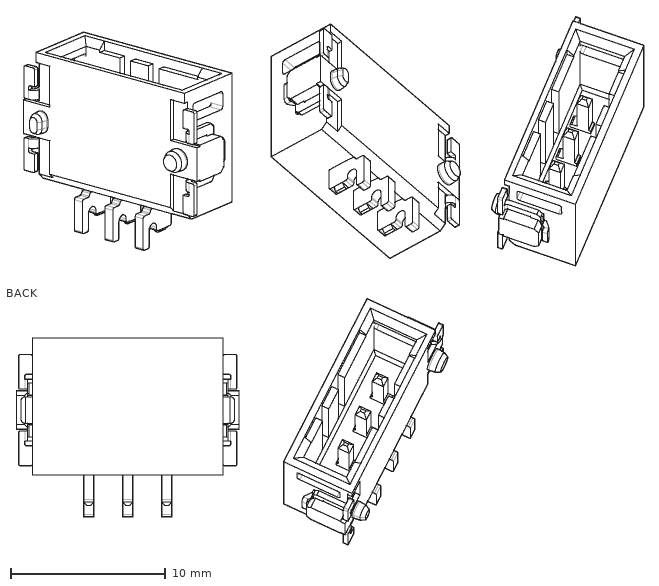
import cadquery as cq

HOUSING_WIDTH = 12.36
HOUSING_DEPTH = 4.94
HOUSING_HEIGHT = 8.9
HALF_WIDTH = HOUSING_WIDTH / 2
FRONT_CHAMFER = 0.75

MOUTH_HALF_WIDTH = 5.69
MOUTH_FRONT = 0.39
MOUTH_BACK = 4.46
LEAD_IN = 0.49
CAVITY_HALF_WIDTH = MOUTH_HALF_WIDTH - LEAD_IN
CAVITY_FRONT = MOUTH_FRONT + LEAD_IN
CAVITY_BACK = MOUTH_BACK - LEAD_IN
FLOOR_Z = 1.95
FLOOR_BEVEL = 0.25

RELIEF_WIDTH = 8.15
RELIEF_DEPTH = 0.65
GROOVE_WIDTH = 0.91
BACK_GROOVES = (-1.93, 0.43)
FRONT_GROOVES = (-0.9, 1.47)

WINDOW_BOTTOM = 6.69
WINDOW_TOP = 7.93
WINDOW_RADIUS = 0.2

MOUNT_Z = 4.22
PEG_X = 5.69
PEG_DIAMETER = 1.5
NARROW_PEG_WIDTH = 1.01
PEG_COLLAR = 0.12
PEG_TAPER_START = 0.55
PEG_LENGTH = 0.87
PEG_DRAFT_INSET = 0.05
PEG_TIP_INSET = 0.2
CORNER_RECESS_WIDTH = 1.15
CORNER_RECESS_DEPTH = 0.33
CORNER_RECESS_TOP = 8.2
RECESS_BAR_HEIGHT = 2.32
WING_TIP_X = 7.22
WING_DEPTH = 2.79
WING_HEIGHT = 2.51
WING_CHAMFER = 0.32
WING_INNER_BEVEL = 0.17

SHEET = 0.33
SHEET_OUTER_X = HALF_WIDTH + SHEET
PLATE_HEIGHT = 4.01
PLATE_BACK = 2.64
PLATE_CHAMFER = 0.26
PLATE_TIP = 0.12
PLATE_TIP_THICKNESS = 0.22
SLOT_HEIGHT = 2.7
SLOT_BACK = 1.93
BEND_INNER_RADIUS = 0.16
BEND_OUTER_RADIUS = BEND_INNER_RADIUS + SHEET
BEND_X = HALF_WIDTH + BEND_OUTER_RADIUS
SOLDER_Y = -0.13
BEND_Y = SOLDER_Y + BEND_OUTER_RADIUS
FOOT_TIP_X = 7.08
FOOT_END = 3.61
FOOT_NOTCH_END = 2.31
FOOT_RADIUS = 0.12
TAB_HEIGHT = 1.72
TAB_TIP_X = 6.92
TAB_BACK = 3.26
TAB_RADIUS = 0.26
TAB_BEND_X = 6.61

PIN_PITCH = 2.53
PIN_WIDTH = 0.66
PIN_FRONT = 1.82
PIN_BACK = 2.63
PIN_TIP_Z = 6.06
PIN_TIP_HEIGHT = 0.43
PIN_TIP_WIDTH = 0.19
PIN_TIP_DEPTH = 0.3
SHANK_FRONT = 1.33
SHANK_BACK = 2.77
SHOULDER_HEIGHT = 0.43
SHOULDER_CHAMFER = 0.13
TAIL_HEEL_Z = -1.73
TAIL_HEEL_FRONT = 1.25
TAIL_KNEE_Z = -0.33
TAIL_KNEE_Y = 0.52
TAIL_SHOULDER_Y = 0.7
TAIL_SHOULDER_Z = -0.06
TAIL_ARCH_TOP = -1.08
TAIL_BEND_RADIUS = 0.13
TAIL_END_Z = -2.7
LEG_BACK = 0.5
TAIL_RADIUS = 0.15
STUB_FRONT = 1.68
STUB_BACK = 2.4
STUB_LENGTH = 0.25
STUB_TIP_WIDTH = 0.22


def box(x0, x1, y0, y1, z0, z1):
    return cq.Workplane("XY").box(x1 - x0, y1 - y0, z1 - z0, centered=False).translate((x0, y0, z0))


def mount_box(x0, x1, y0, y1, height):
    return box(x0, x1, y0, y1, MOUNT_Z - height / 2, MOUNT_Z + height / 2)


def cavity_frustum(z_low, z_high, inset_low, inset_high):
    """Rectangular frustum, each end inset from the straight cavity walls."""
    width = 2 * CAVITY_HALF_WIDTH
    middle_y = (CAVITY_FRONT + CAVITY_BACK) / 2
    depth = CAVITY_BACK - CAVITY_FRONT
    return (
        cq.Workplane("XY", origin=(0, middle_y, z_low))
        .rect(width - 2 * inset_low, depth - 2 * inset_low)
        .workplane(offset=z_high - z_low)
        .rect(width - 2 * inset_high, depth - 2 * inset_high)
        .loft(ruled=True)
    )


def make_cavity():
    bevel_top = FLOOR_Z + FLOOR_BEVEL
    lead_in_bottom = HOUSING_HEIGHT - LEAD_IN
    cavity = cavity_frustum(FLOOR_Z, bevel_top, FLOOR_BEVEL, 0)
    cavity = cavity.union(cavity_frustum(bevel_top, lead_in_bottom, 0, 0))
    cavity = cavity.union(cavity_frustum(lead_in_bottom, HOUSING_HEIGHT, 0, -LEAD_IN))
    relief_bottom = HOUSING_HEIGHT - RELIEF_DEPTH
    half_relief = RELIEF_WIDTH / 2
    cavity = cavity.union(
        box(-half_relief, half_relief, MOUTH_FRONT, MOUTH_BACK, relief_bottom, HOUSING_HEIGHT)
    )
    groove_rows = (
        (BACK_GROOVES, CAVITY_BACK, MOUTH_BACK),
        (FRONT_GROOVES, MOUTH_FRONT, CAVITY_FRONT),
    )
    half_groove = GROOVE_WIDTH / 2
    for centres, y0, y1 in groove_rows:
        for x in centres:
            groove = box(x - half_groove, x + half_groove, y0, y1, bevel_top, HOUSING_HEIGHT)
            cavity = cavity.union(groove)
    return cavity


def make_corner_recesses():
    """Shallow recesses in the front corners, crossed by a bar at the mounting height."""
    inner_x = HALF_WIDTH - CORNER_RECESS_WIDTH
    recess = box(inner_x, HALF_WIDTH, 0, CORNER_RECESS_DEPTH, 0, CORNER_RECESS_TOP)
    recess = recess.cut(mount_box(inner_x, HALF_WIDTH, 0, CORNER_RECESS_DEPTH, RECESS_BAR_HEIGHT))
    return recess.union(recess.mirror("YZ"))


def make_housing():
    shell = box(-HALF_WIDTH, HALF_WIDTH, 0, HOUSING_DEPTH, 0, HOUSING_HEIGHT)
    shell = shell.faces("<Y").edges("<Z").chamfer(FRONT_CHAMFER)
    window = box(-HALF_WIDTH, HALF_WIDTH, CAVITY_FRONT, CAVITY_BACK, WINDOW_BOTTOM, WINDOW_TOP)
    window = window.edges("|X").fillet(WINDOW_RADIUS)
    return shell.cut(make_cavity()).cut(window).cut(make_corner_recesses())


def make_wing():
    """Block on the +X end that holds the retainer."""
    wing = mount_box(HALF_WIDTH, WING_TIP_X, 0, WING_DEPTH, WING_HEIGHT)
    wing = wing.faces(">Y").edges("|X").chamfer(WING_CHAMFER)
    bevel = (
        cq.Workplane("XY")
        .moveTo(SHEET_OUTER_X, WING_DEPTH)
        .lineTo(SHEET_OUTER_X + WING_INNER_BEVEL, WING_DEPTH)
        .lineTo(SHEET_OUTER_X, WING_DEPTH - WING_INNER_BEVEL)
        .close()
        .extrude(HOUSING_HEIGHT)
    )
    front_step = mount_box(HALF_WIDTH, WING_TIP_X, 0, CORNER_RECESS_DEPTH, WING_HEIGHT)
    front_step = front_step.cut(
        mount_box(HALF_WIDTH, WING_TIP_X, 0, CORNER_RECESS_DEPTH, RECESS_BAR_HEIGHT)
    )
    return wing.cut(bevel).cut(front_step)


def make_foot():
    """Upper solder foot of the +X retainer with the bend that joins it to the plate."""
    slot_top = MOUNT_Z + SLOT_HEIGHT / 2
    plate_top = MOUNT_Z + PLATE_HEIGHT / 2
    foot_y = (SOLDER_Y, SOLDER_Y + SHEET)
    foot = box(HALF_WIDTH, FOOT_TIP_X, *foot_y, slot_top, MOUNT_Z + FOOT_END)
    notch = box(HALF_WIDTH, BEND_X, *foot_y, slot_top, MOUNT_Z + FOOT_NOTCH_END)
    foot = foot.edges("|Y").fillet(FOOT_RADIUS)
    foot = foot.cut(notch.edges("|Y and >X and >Z").fillet(FOOT_RADIUS))
    bend = (
        cq.Workplane("XY", origin=(BEND_X, BEND_Y, slot_top))
        .circle(BEND_OUTER_RADIUS)
        .circle(BEND_INNER_RADIUS)
        .extrude(plate_top - slot_top)
    )
    quarter = box(HALF_WIDTH, BEND_X, SOLDER_Y, BEND_Y, slot_top, plate_top)
    return foot.union(bend.intersect(quarter))


def make_tab():
    """Tongue that leaves the back of the +X retainer and bends outward."""
    tab = (
        cq.Workplane("XY", origin=(0, 0, MOUNT_Z - TAB_HEIGHT / 2))
        .moveTo(HALF_WIDTH, PLATE_BACK)
        .lineTo(HALF_WIDTH, TAB_BACK - SHEET)
        .lineTo(TAB_BEND_X, TAB_BACK)
        .lineTo(TAB_TIP_X, TAB_BACK)
        .lineTo(TAB_TIP_X, TAB_BACK - SHEET)
        .lineTo(SHEET_OUTER_X + SHEET / 2, TAB_BACK - SHEET)
        .lineTo(SHEET_OUTER_X, PLATE_BACK + PLATE_TIP)
        .lineTo(SHEET_OUTER_X, PLATE_BACK)
        .close()
        .extrude(TAB_HEIGHT)
    )
    return tab.faces(">X").edges("|Y").fillet(TAB_RADIUS)


def make_retainer():
    plate = mount_box(HALF_WIDTH, SHEET_OUTER_X, BEND_Y, PLATE_BACK, PLATE_HEIGHT)
    plate = plate.faces(">Y").edges("|X").chamfer(PLATE_CHAMFER)
    tip_height = PLATE_HEIGHT - 2 * PLATE_CHAMFER
    tip_x = HALF_WIDTH + PLATE_TIP_THICKNESS
    tip = mount_box(HALF_WIDTH, tip_x, PLATE_BACK, PLATE_BACK + PLATE_TIP, tip_height)
    slot = mount_box(HALF_WIDTH, SHEET_OUTER_X, 0, SLOT_BACK, SLOT_HEIGHT)
    foot = make_foot()
    lower_foot = foot.mirror("XY", (0, 0, MOUNT_Z))
    return plate.union(tip).cut(slot).union(foot).union(lower_foot).union(make_tab())


def make_peg(x, width):
    """Locating peg with a collar, a slight draft and a tapered tip; oblong if narrow."""
    def outline(plane, inset):
        if width < PEG_DIAMETER:
            return plane.slot2D(PEG_DIAMETER - 2 * inset, width - 2 * inset, 90)
        return plane.circle(width / 2 - inset)

    def segment(start, end, inset_start, inset_end):
        base = outline(cq.Workplane("XZ", origin=(x, -start, MOUNT_Z)), inset_start)
        return outline(base.workplane(offset=end - start), inset_end).loft(ruled=True)

    peg = segment(0, PEG_COLLAR, 0, 0)
    peg = peg.union(segment(PEG_COLLAR, PEG_TAPER_START, 0, PEG_DRAFT_INSET))
    return peg.union(segment(PEG_TAPER_START, PEG_LENGTH, PEG_DRAFT_INSET, PEG_TIP_INSET))


def make_tail():
    """Flat contact tail below the housing, ending in the solder leg."""
    arch_radius = (TAIL_HEEL_FRONT - LEG_BACK) / 2
    arch_y = LEG_BACK + arch_radius
    arch_z = TAIL_ARCH_TOP - arch_radius
    tail = (
        cq.Workplane("YZ", origin=(-PIN_WIDTH / 2, 0, 0))
        .moveTo(SHANK_BACK, FLOOR_Z)
        .lineTo(SHANK_BACK, TAIL_HEEL_Z)
        .lineTo(TAIL_HEEL_FRONT, TAIL_HEEL_Z)
        .lineTo(TAIL_HEEL_FRONT, arch_z)
        .threePointArc((arch_y, arch_z + arch_radius), (LEG_BACK, arch_z))
        .lineTo(LEG_BACK, TAIL_END_Z)
        .lineTo(SOLDER_Y, TAIL_END_Z)
        .lineTo(SOLDER_Y, TAIL_KNEE_Z)
        .lineTo(TAIL_KNEE_Y, TAIL_KNEE_Z)
        .lineTo(TAIL_SHOULDER_Y, TAIL_SHOULDER_Z)
        .lineTo(SHANK_FRONT, 0)
        .lineTo(SHANK_FRONT, FLOOR_Z)
        .close()
        .extrude(PIN_WIDTH)
    )
    rounded_corners = (
        (SHANK_BACK, TAIL_HEEL_Z, TAIL_RADIUS),
        (TAIL_HEEL_FRONT, TAIL_HEEL_Z, TAIL_RADIUS),
        (LEG_BACK, TAIL_END_Z, TAIL_RADIUS),
        (SOLDER_Y, TAIL_END_Z, TAIL_RADIUS),
        (SOLDER_Y, TAIL_KNEE_Z, TAIL_RADIUS),
        (TAIL_KNEE_Y, TAIL_KNEE_Z, TAIL_BEND_RADIUS),
        (TAIL_SHOULDER_Y, TAIL_SHOULDER_Z, TAIL_BEND_RADIUS),
    )
    for y, z, radius in rounded_corners:
        tail = tail.edges(cq.NearestToPointSelector((0, y, z))).fillet(radius)
    return tail


def make_contact(x):
    shoulder = box(-PIN_WIDTH / 2, PIN_WIDTH / 2, SHANK_FRONT, SHANK_BACK, FLOOR_Z, FLOOR_Z + SHOULDER_HEIGHT)
    shoulder = shoulder.faces(">Z").edges("|X").chamfer(SHOULDER_CHAMFER)
    pin_middle = (PIN_FRONT + PIN_BACK) / 2
    tip_base = PIN_TIP_Z - PIN_TIP_HEIGHT
    pin = box(-PIN_WIDTH / 2, PIN_WIDTH / 2, PIN_FRONT, PIN_BACK, FLOOR_Z, tip_base)
    pin_tip = (
        cq.Workplane("XY", origin=(0, pin_middle, tip_base))
        .rect(PIN_WIDTH, PIN_BACK - PIN_FRONT)
        .workplane(offset=PIN_TIP_HEIGHT)
        .rect(PIN_TIP_WIDTH, PIN_TIP_DEPTH)
        .loft(ruled=True)
    )
    stub_depth = STUB_BACK - STUB_FRONT
    stub = (
        cq.Workplane("XY", origin=(0, STUB_FRONT + stub_depth / 2, TAIL_HEEL_Z))
        .rect(PIN_WIDTH, stub_depth)
        .workplane(offset=-STUB_LENGTH)
        .rect(STUB_TIP_WIDTH, stub_depth)
        .loft(ruled=True)
    )
    contact = make_tail().union(shoulder).union(pin).union(pin_tip).union(stub)
    return contact.translate((x, 0, 0))


result = make_housing()
end_fittings = make_wing().union(make_retainer())
result = result.union(end_fittings).union(end_fittings.mirror("YZ"))
result = result.union(make_peg(PEG_X, PEG_DIAMETER)).union(make_peg(-PEG_X, NARROW_PEG_WIDTH))
for position in (-1, 0, 1):
    result = result.union(make_contact(position * PIN_PITCH))